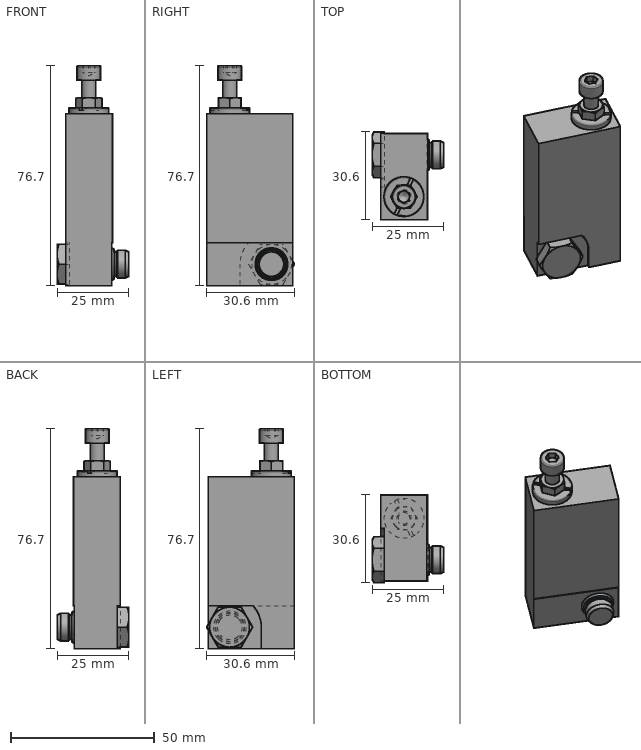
import cadquery as cq
import math


def hexagon_corners(flats):
    """Width across corners of a hexagon with the given width across flats."""
    return flats / math.cos(math.radians(30))


body_x = 16.3
body_y = 30.1
body_height = 60.0

seat_top = 14.95
seat_radius = 11.05
left_seat_depth = 1.15
right_seat_depth = 0.2

bolt_flats = 13.9
bolt_overhang = 0.5
fitting_y = body_y + bolt_overhang - hexagon_corners(bolt_flats) / 2
fitting_z = 7.6
bolt_face_x = -3.0
nipple_end_x = 22.0
collar_base_radius = 5.7
collar_radius = 5.15
collar_end_x = 16.9
groove_radius = 8.6 / 2
groove_end_x = 17.6
thread_radius = 9.75 / 2
thread_start_x = 18.2
thread_end_x = 20.7
nipple_tip_radius = 8.5 / 2

screw_x = 8.05
screw_y = 8.05
disc_radius = 13.9 / 2
disc_top = 62.05
disc_fillet = 0.3
slot_width = 1.15
slot_depth = 0.85
slot_angle = 66
nut_flats = 8.0
nut_top = 65.6
stud_radius = 5.0 / 2
head_radius = 8.3 / 2
head_bottom = 71.7
head_top = 76.7
head_fillet = 0.45
socket_flats = 4.0
socket_angle = 84
socket_depth = 2.3
drill_cone_depth = 1.15

bevel_slope = math.tan(math.radians(30))


def beveled_hexagon(flats, height):
    """Hexagonal prism on XY with corners on X and its top corners turned off at 30 degrees."""
    corner_radius = hexagon_corners(flats) / 2
    flat_radius = flats / 2
    bevel_height = (corner_radius - flat_radius) * bevel_slope
    prism = cq.Workplane("XY").polygon(6, 2 * corner_radius).extrude(height)
    envelope = (
        cq.Workplane("XZ")
        .moveTo(0, 0)
        .lineTo(corner_radius, 0)
        .lineTo(corner_radius, height - bevel_height)
        .lineTo(flat_radius, height)
        .lineTo(0, height)
        .close()
        .revolve(360, (0, 0), (0, 1))
    )
    return prism.intersect(envelope)


def make_body():
    block = cq.Workplane("XY").box(body_x, body_y, body_height, centered=False)

    left_seat = (
        cq.Workplane("YZ")
        .center(fitting_y, fitting_z)
        .circle(seat_radius)
        .extrude(left_seat_depth)
    )
    below_axis = cq.Workplane("XY").box(left_seat_depth, 2 * seat_radius, fitting_z, centered=False)
    left_seat = left_seat.union(below_axis.translate((0, fitting_y - seat_radius, 0)))
    seat_limit = cq.Workplane("XY").box(left_seat_depth, body_y, seat_top, centered=False)
    left_seat = left_seat.intersect(seat_limit)

    right_seat = cq.Workplane("XY").box(right_seat_depth, body_y, seat_top, centered=False)
    right_seat = right_seat.translate((body_x - right_seat_depth, 0, 0))
    return block.cut(left_seat).cut(right_seat)


def make_bolt_head():
    height = left_seat_depth - bolt_face_x
    head = beveled_hexagon(bolt_flats, height)
    head = head.rotate((0, 0, 0), (0, 0, 1), 90).rotate((0, 0, 0), (0, 1, 0), -90)
    return head.translate((left_seat_depth, fitting_y, fitting_z))


def make_nipple():
    seat_x = body_x - right_seat_depth
    root_x = body_x / 2
    profile = (
        cq.Workplane("XY")
        .moveTo(root_x, 0)
        .lineTo(root_x, collar_base_radius)
        .lineTo(seat_x, collar_base_radius)
        .lineTo(collar_end_x, collar_radius)
        .lineTo(collar_end_x, groove_radius)
        .lineTo(groove_end_x, groove_radius)
        .lineTo(thread_start_x, thread_radius)
        .lineTo(thread_end_x, thread_radius)
        .lineTo(nipple_end_x, nipple_tip_radius)
        .lineTo(nipple_end_x, 0)
        .close()
    )
    nipple = profile.revolve(360, (0, 0), (1, 0))
    return nipple.translate((0, fitting_y, fitting_z))


def make_slotted_disc():
    disc = cq.Workplane("XY").circle(disc_radius).extrude(disc_top - body_height)
    disc = disc.faces(">Z").edges().fillet(disc_fillet)
    slot = (
        cq.Workplane("XY")
        .box(2 * disc_radius, slot_width, slot_depth, centered=(True, True, False))
        .rotate((0, 0, 0), (0, 0, 1), slot_angle)
        .translate((0, 0, disc_top - body_height - slot_depth))
    )
    slot = slot.cut(cq.Workplane("XY").polygon(6, hexagon_corners(nut_flats)).extrude(disc_top))
    return disc.cut(slot).translate((0, 0, body_height))


def make_cap_screw():
    screw = (
        cq.Workplane("XZ")
        .moveTo(0, disc_top)
        .lineTo(stud_radius, disc_top)
        .lineTo(stud_radius, head_bottom)
        .lineTo(head_radius, head_bottom)
        .lineTo(head_radius, head_top)
        .lineTo(0, head_top)
        .close()
        .revolve(360, (0, 0), (0, 1))
    )
    screw = screw.faces(">Z").edges().fillet(head_fillet)
    socket_corners = hexagon_corners(socket_flats)
    socket_floor = head_top - socket_depth
    socket = (
        cq.Workplane("XY")
        .polygon(6, socket_corners)
        .extrude(socket_depth)
        .rotate((0, 0, 0), (0, 0, 1), socket_angle)
        .translate((0, 0, socket_floor))
    )
    cone = cq.Solid.makeCone(
        0, socket_flats / 2, drill_cone_depth, pnt=cq.Vector(0, 0, socket_floor - drill_cone_depth)
    )
    return screw.cut(socket).cut(cq.Workplane(cone))


def make_adjuster():
    nut = beveled_hexagon(nut_flats, nut_top - disc_top).translate((0, 0, disc_top))
    adjuster = make_slotted_disc().union(nut).union(make_cap_screw())
    return adjuster.translate((screw_x, screw_y, 0))


result = make_body().union(make_bolt_head()).union(make_nipple()).union(make_adjuster())